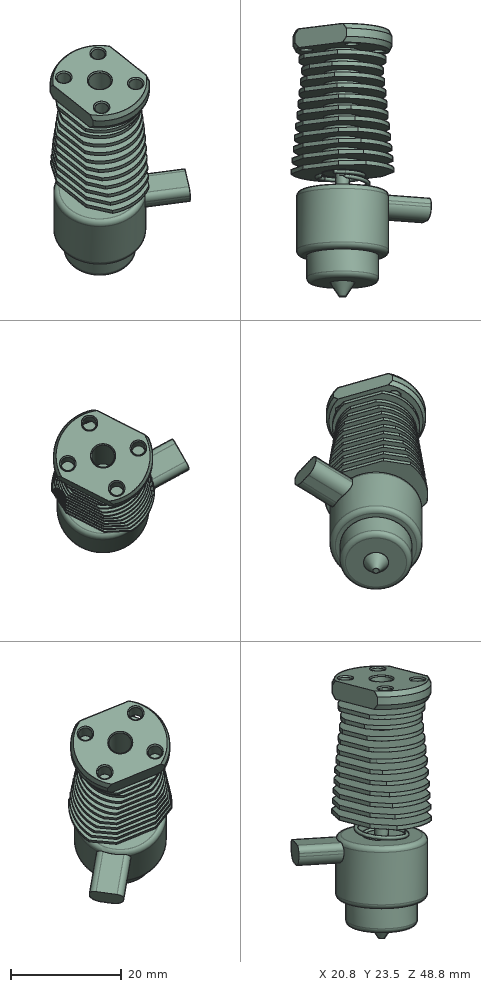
import cadquery as cq
import math

TOTAL_HEIGHT = 48.8

FLANGE_DIA = 18.0
FLANGE_THICKNESS = 3.45
FLANGE_BEVEL_INSET = 0.5
FLANGE_BEVEL_HEIGHT = 1.0
FLAT_WIDTH = 14.0
SCREW_SPACING_X = 10.0
SCREW_SPACING_Y = 8.5
SCREW_HOLE_DIA = 2.5
SCREW_MOUTH_DIA = 3.0

FIN_COUNT = 11
FIN_PITCH = 2.05
FIN_THICKNESS = 0.8
TOP_FIN_RADIUS = 7.9
SMALLEST_FIN_RADIUS = 7.4
LARGEST_FIN_RADIUS = 9.35
FIN_CORNER_DISTANCE = 8.0
FIN_CORNER_NORMAL = 60.0
STEM_TOP_DIA = 6.4
STEM_BOTTOM_DIA = 7.5
STEM_END_LENGTH = 0.15

TUBE_BORE_DIA = 4.1
TUBE_MOUTH_DIA = 4.55
TUBE_BORE_DEPTH = 14.65
HEAT_BREAK_DIA = 2.5
FILAMENT_DIA = 2.0
FILAMENT_MOUTH_DIA = 3.0
FILAMENT_BOTTOM = 2.55

BODY_DIA = 16.7
BODY_TOP = 19.35
BODY_BOTTOM = 7.55
COLLAR_DIA = 13.05
COLLAR_BOTTOM = 2.55
BODY_FILLET = 1.0
TIP_DIA = 1.15
NOZZLE_DIA = 4.55

BOOT_ANGLE = 56.8
BOOT_REACH = 16.1
BOOT_WIDTH = 6.3
BOOT_HEIGHT = 4.0
BOOT_TOP = 18.95
BOOT_TOP_FILLET = 1.2
BOOT_BOTTOM_FILLET = 2.2

WIRE_DIA = 0.75
SPRING_RADIUS = 4.65
SPRING_TOP = 22.3
SPRING_BOTTOM = 19.4
COIL_START_ANGLE = 240.0
COIL_SWEEP = 426.0
UPPER_END_RADIUS = 4.2
UPPER_END_SWEEP = 219.0
LOWER_END_RADIUS = 3.9
LOWER_END_SWEEP = 240.0
TAIL_LENGTH = 2.1
JOINT_BEAD_DIA = 0.8

flange_bottom = TOTAL_HEIGHT - FLANGE_THICKNESS
groove_height = FIN_PITCH - FIN_THICKNESS
lowest_fin_bottom = flange_bottom - FIN_COUNT * FIN_PITCH
stem_bottom = lowest_fin_bottom - STEM_END_LENGTH
tube_bore_bottom = TOTAL_HEIGHT - TUBE_BORE_DEPTH


def cylinder(diameter, bottom, top):
    return cq.Workplane("XY").workplane(offset=bottom).circle(diameter / 2).extrude(top - bottom)


def cone(bottom_dia, top_dia, bottom, top):
    outline = [(0, bottom), (bottom_dia / 2, bottom), (top_dia / 2, top), (0, top)]
    return cq.Workplane("XZ").polyline(outline).close().revolve(360, (0, 0), (0, 1))


def mouth(hole_dia, mouth_dia, top):
    """45 degree countersink widening a hole to mouth_dia at the given height."""
    return cone(hole_dia, mouth_dia, top - (mouth_dia - hole_dia) / 2, top)


def flat_slab(bottom, top):
    """Wide slab between the two Y flats."""
    return (
        cq.Workplane("XY").workplane(offset=bottom)
        .rect(2 * FLANGE_DIA, FLAT_WIDTH).extrude(top - bottom)
    )


def make_flange():
    radius = FLANGE_DIA / 2
    inner = radius - FLANGE_BEVEL_INSET
    outline = [
        (0, flange_bottom),
        (inner, flange_bottom),
        (radius, flange_bottom + FLANGE_BEVEL_HEIGHT),
        (radius, TOTAL_HEIGHT - FLANGE_BEVEL_HEIGHT),
        (inner, TOTAL_HEIGHT),
        (0, TOTAL_HEIGHT),
    ]
    disc = cq.Workplane("XZ").polyline(outline).close().revolve(360, (0, 0), (0, 1))
    flange = disc.intersect(flat_slab(flange_bottom, TOTAL_HEIGHT))
    screw_hole = cylinder(SCREW_HOLE_DIA, flange_bottom, TOTAL_HEIGHT).union(
        mouth(SCREW_HOLE_DIA, SCREW_MOUTH_DIA, TOTAL_HEIGHT)
    )
    for side_x in (-1, 1):
        for side_y in (-1, 1):
            place = (side_x * SCREW_SPACING_X / 2, side_y * SCREW_SPACING_Y / 2, 0)
            flange = flange.cut(screw_hole.translate(place))
    return flange


def fin_radius(index):
    """The top fin stands out; the others grow evenly downwards."""
    if index == 0:
        return TOP_FIN_RADIUS
    growth = (LARGEST_FIN_RADIUS - SMALLEST_FIN_RADIUS) / (FIN_COUNT - 2)
    return SMALLEST_FIN_RADIUS + (index - 1) * growth


def make_fin(index):
    bottom = flange_bottom - (index + 1) * FIN_PITCH
    top = bottom + FIN_THICKNESS
    fin = cylinder(2 * fin_radius(index), bottom, top).intersect(flat_slab(bottom, top))
    for normal_angle in (FIN_CORNER_NORMAL, -FIN_CORNER_NORMAL):
        corner_band = (
            cq.Workplane("XY").workplane(offset=bottom)
            .rect(2 * FIN_CORNER_DISTANCE, 2 * FLANGE_DIA).extrude(FIN_THICKNESS)
            .rotate((0, 0, 0), (0, 0, 1), normal_angle)
        )
        fin = fin.intersect(corner_band)
    return fin


def make_heat_sink():
    sink = make_flange()
    stem_step = (STEM_BOTTOM_DIA - STEM_TOP_DIA) / FIN_COUNT
    for index in range(FIN_COUNT):
        groove_top = flange_bottom - index * FIN_PITCH
        stem = cylinder(STEM_TOP_DIA + index * stem_step, groove_top - groove_height, groove_top)
        sink = sink.union(stem).union(make_fin(index))
    return sink.union(cylinder(STEM_BOTTOM_DIA, stem_bottom, lowest_fin_bottom))


def make_heater():
    body = cylinder(BODY_DIA, BODY_BOTTOM, BODY_TOP).edges().fillet(BODY_FILLET)
    collar = cylinder(COLLAR_DIA, COLLAR_BOTTOM, BODY_TOP - BODY_FILLET)
    collar = collar.faces("<Z").edges().fillet(BODY_FILLET)
    return body.union(collar).union(cone(TIP_DIA, NOZZLE_DIA, 0, COLLAR_BOTTOM))


def make_cable_boot():
    boot = (
        cq.Workplane("XY")
        .box(BOOT_REACH, BOOT_WIDTH, BOOT_HEIGHT, centered=(False, True, False))
        .edges("|X and >Z").fillet(BOOT_TOP_FILLET)
        .edges("|X and <Z").fillet(BOOT_BOTTOM_FILLET)
    )
    return boot.translate((0, 0, BOOT_TOP - BOOT_HEIGHT)).rotate((0, 0, 0), (0, 0, 1), BOOT_ANGLE)


def flat_end(radius, sweep, height, start_angle):
    """Flat wire arc, narrower than the coil and tangent to it at start_angle.

    A positive sweep runs counter-clockwise.
    """
    arc = (
        cq.Workplane("XZ").center(SPRING_RADIUS, height).circle(WIRE_DIA / 2)
        .revolve(abs(sweep), (-radius, 0), (-radius, math.copysign(1, sweep)))
    )
    return arc.rotate((0, 0, 0), (0, 0, 1), start_angle)


def make_tail(upper_angle):
    """Straight wire leaving the upper end tangentially."""
    shift = SPRING_RADIUS - UPPER_END_RADIUS
    joint = math.radians(upper_angle)
    leave = math.radians(upper_angle - UPPER_END_SWEEP)
    start = cq.Vector(
        shift * math.cos(joint) + UPPER_END_RADIUS * math.cos(leave),
        shift * math.sin(joint) + UPPER_END_RADIUS * math.sin(leave),
        SPRING_TOP,
    )
    direction = cq.Vector(math.sin(leave), -math.cos(leave), 0)
    return cq.Workplane(cq.Solid.makeCylinder(WIRE_DIA / 2, TAIL_LENGTH, start, direction))


def joint_bead(angle, height):
    """Ball joining the sloping coil to a flat end."""
    joint = math.radians(angle)
    centre = (SPRING_RADIUS * math.cos(joint), SPRING_RADIUS * math.sin(joint), height)
    return cq.Workplane("XY").sphere(JOINT_BEAD_DIA / 2).translate(centre)


def make_spring():
    rise = SPRING_TOP - SPRING_BOTTOM
    pitch = rise * 360 / COIL_SWEEP
    path = cq.Wire.makeHelix(pitch, rise, SPRING_RADIUS, lefthand=True)
    start_plane = cq.Plane(
        origin=(SPRING_RADIUS, 0, 0),
        xDir=(1, 0, 0),
        normal=(0, -2 * math.pi * SPRING_RADIUS, pitch),
    )
    coil = cq.Workplane(start_plane).circle(WIRE_DIA / 2).sweep(cq.Workplane(path), isFrenet=True)
    coil = coil.translate((0, 0, SPRING_BOTTOM)).rotate((0, 0, 0), (0, 0, 1), COIL_START_ANGLE)
    upper_angle = COIL_START_ANGLE - COIL_SWEEP
    upper_end = flat_end(UPPER_END_RADIUS, -UPPER_END_SWEEP, SPRING_TOP, upper_angle)
    lower_end = flat_end(LOWER_END_RADIUS, LOWER_END_SWEEP, SPRING_BOTTOM, COIL_START_ANGLE)
    return (
        coil
        .union(joint_bead(upper_angle, SPRING_TOP))
        .union(upper_end)
        .union(make_tail(upper_angle))
        .union(joint_bead(COIL_START_ANGLE, SPRING_BOTTOM))
        .union(lower_end)
    )


def make_filament_passage():
    passage = cylinder(TUBE_BORE_DIA, tube_bore_bottom, TOTAL_HEIGHT)
    passage = passage.union(mouth(TUBE_BORE_DIA, TUBE_MOUTH_DIA, TOTAL_HEIGHT))
    passage = passage.union(cylinder(FILAMENT_DIA, FILAMENT_BOTTOM, tube_bore_bottom))
    return passage.union(mouth(FILAMENT_DIA, FILAMENT_MOUTH_DIA, tube_bore_bottom))


heat_break = cylinder(HEAT_BREAK_DIA, BODY_TOP - BODY_FILLET, stem_bottom + STEM_END_LENGTH)
result = (
    make_heat_sink()
    .union(make_heater())
    .union(make_cable_boot())
    .union(heat_break)
    .union(make_spring())
    .cut(make_filament_passage())
)